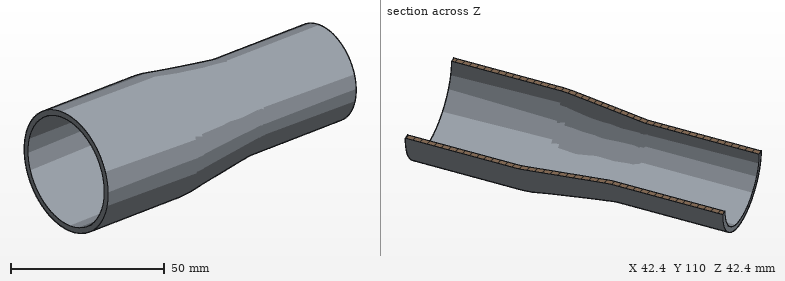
import cadquery as cq
import math

length = 110.0
wide_outer_radius = 42.4 / 2
narrow_outer_radius = 33.7 / 2
wall = 2.0

wide_straight_length = 38.6
narrow_straight_length = 38.7
wide_bend_radius = wide_outer_radius
narrow_bend_radius = narrow_outer_radius

wide_end_y = -length / 2
narrow_end_y = length / 2
wide_bend_y = wide_end_y + wide_straight_length
narrow_bend_y = narrow_end_y - narrow_straight_length

wide_centre_radius = wide_outer_radius - wide_bend_radius
narrow_centre_radius = narrow_outer_radius + narrow_bend_radius
axial_gap = narrow_bend_y - wide_bend_y
radial_gap = narrow_centre_radius - wide_centre_radius
cone_angle = math.asin(
    (wide_bend_radius + narrow_bend_radius) / math.hypot(axial_gap, radial_gap)
) - math.atan2(radial_gap, axial_gap)


def wide_bend_point(inset, angle):
    """Point (radius, y) on the wide bend, inset from the outer surface."""
    reach = wide_bend_radius - inset
    return (
        wide_centre_radius + reach * math.cos(angle),
        wide_bend_y + reach * math.sin(angle),
    )


def narrow_bend_point(inset, angle):
    """Point (radius, y) on the narrow bend, inset from the outer surface."""
    reach = narrow_bend_radius + inset
    return (
        narrow_centre_radius - reach * math.cos(angle),
        narrow_bend_y - reach * math.sin(angle),
    )


def solid_inside(inset):
    """Solid of revolution bounded by the outer surface moved inward by the inset."""
    return (
        cq.Workplane("XY")
        .moveTo(0, wide_end_y)
        .lineTo(wide_outer_radius - inset, wide_end_y)
        .lineTo(*wide_bend_point(inset, 0))
        .threePointArc(wide_bend_point(inset, cone_angle / 2), wide_bend_point(inset, cone_angle))
        .lineTo(*narrow_bend_point(inset, cone_angle))
        .threePointArc(narrow_bend_point(inset, cone_angle / 2), narrow_bend_point(inset, 0))
        .lineTo(narrow_outer_radius - inset, narrow_end_y)
        .lineTo(0, narrow_end_y)
        .close()
        .revolve(360, (0, 0, 0), (0, 1, 0))
    )


result = solid_inside(0).cut(solid_inside(wall))